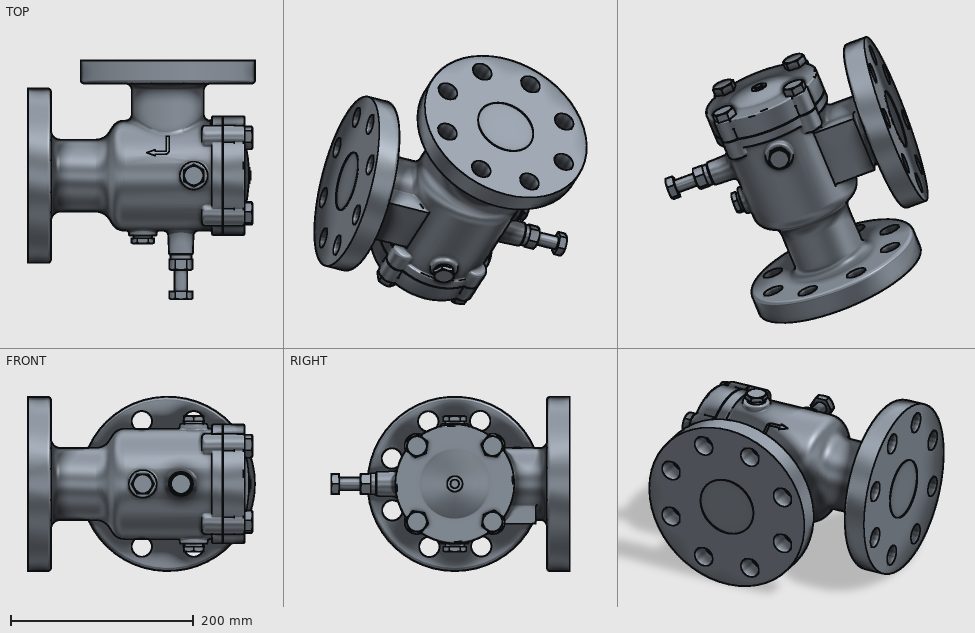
import cadquery as cq
import math


tolerance = 0.01
hexagon_chamfer_ratio = 0.97
boss_root = 50.0

inlet_face_x = -153.0
outlet_face_y = 126.0
flange_radius = 95.5
flange_thickness = 25.3
flange_edge_round = 4.0
flange_hole_count = 8
flange_hole_diameter = 22.0
flange_hole_circle_radius = 74.2
inlet_hole_twist = 0.5
port_radius = 32.5
port_depth = 1.0
neck_radius = 39.5
inlet_neck_fillet = 10.0
outlet_neck_fillet = 7.0
outlet_saddle_fillet = 6.5

body_radius = 60.3
body_start_x = -47.6
shoulder_slope = 58.0
shoulder_inner_radius = 17.5
shoulder_outer_radius = 15.0

pad_half_width = 32.0
pad_bottom_z = -43.5
pad_end_y = 88.5
pad_fillet = 2.0

rim_radius = 65.0
rim_start_x = 48.2
gasket_thickness = 1.0
joint_x = 60.0
housing_end_x = joint_x - gasket_thickness / 2
cover_start_x = joint_x + gasket_thickness / 2
cover_face_x = 84.0
cover_edge_round = 1.7

lug_count = 4
lug_circle_radius = 58.5
lug_radius = 13.5
lug_start_x = 37.3
lug_end_round = 4.0
cover_root_length = 9.5
rim_fillet = 1.8

bolt_flats = 22.0
bolt_head_height = 8.7
bolt_turn = 6.5

dome_base_radius = 38.0
dome_height = 5.0
dome_pad_radius = 8.5
dome_pad_end_x = 89.6
dome_nose_radius = 4.7
dome_nose_end_x = 91.0

side_plug_x = 28.4
drain_plug_x = -27.4
plug_boss_radius = 15.2
plug_boss_end = 65.7
plug_boss_round = 2.0
plug_boss_fillet = 2.5
plug_collar_radius = 10.3
plug_collar_end = 68.7
plug_flats = 21.4
plug_end = 74.4

plug_places = [
    (side_plug_x, 0, 90),
    (side_plug_x, 180, 90),
    (drain_plug_x, 90, 0),
]

spindle_turn = 90
spindle_x = 14.35
spindle_boss_base_radius = 14.5
spindle_boss_end_radius = 13.2
spindle_boss_end = 86.7
spindle_boss_chamfer = 1.5
spindle_boss_fillet = 5.0
spindle_collar_radius = 11.6
spindle_collar_end = 91.7
spindle_flats = 22.1
spindle_nut_end = 103.2
spindle_rod_radius = 7.1
spindle_head_height = 8.9
spindle_end = 135.34

arrow_width = 3.0
arrow_start_y = 43.0
arrow_turn_y = 25.1
arrow_bend_radius = 2.5
arrow_neck_x = -13.8
arrow_tip_x = -23.2
arrow_half_head = 3.3
arrow_height = 0.5


def x_disc(radius, start_x, end_x):
    """Cylinder around the X axis."""
    return cq.Workplane("YZ", origin=(start_x, 0, 0)).circle(radius).extrude(end_x - start_x)


def hexagon(flats, start, end, corner_angle=0.0):
    """Hexagonal prism along Z, its far end chamfered, with one corner at the given angle from local X."""
    corners_diameter = flats / math.cos(math.pi / 6)
    prism = cq.Workplane("XY", origin=(0, 0, start)).polygon(6, corners_diameter).extrude(end - start)
    chamfer_width = (corners_diameter - hexagon_chamfer_ratio * flats) / 2
    chamfer_height = chamfer_width * math.tan(math.pi / 6)
    limit = cq.Workplane("XY", origin=(0, 0, start)).circle(corners_diameter / 2).extrude(end - start)
    limit = limit.faces(">Z").edges().chamfer(chamfer_height, chamfer_width)
    return prism.intersect(limit).rotate((0, 0, 0), (0, 0, 1), corner_angle)


def lug_angles():
    """Angles of the lugs around the X axis, in degrees."""
    return [45.0 + 360.0 / lug_count * i for i in range(lug_count)]


def lugs(start_x, end_x):
    """Round bolt lugs parallel to the X axis."""
    return (
        cq.Workplane("YZ", origin=(start_x, 0, 0))
        .polarArray(lug_circle_radius, lug_angles()[0], 360, lug_count)
        .circle(lug_radius)
        .extrude(end_x - start_x)
    )


def flange_cuts():
    """Bolt holes and blind port of a flange whose face lies on Z = 0 and whose body is at Z > 0."""
    first_angle = 180.0 / flange_hole_count
    holes = (
        cq.Workplane("XY")
        .polarArray(flange_hole_circle_radius, first_angle, 360, flange_hole_count)
        .circle(flange_hole_diameter / 2)
        .extrude(flange_thickness)
    )
    return holes.union(cq.Workplane("XY").circle(port_radius).extrude(port_depth))


def flanged_neck(length, fillet):
    """Flange with its face on Z = 0 and a filleted neck running to the given length."""
    flange = cq.Workplane("XY").circle(flange_radius).extrude(flange_thickness)
    flange = flange.faces(">Z").edges().fillet(flange_edge_round)
    neck = cq.Workplane("XY").circle(neck_radius).extrude(length)
    root = (
        cq.Workplane("XZ")
        .moveTo(0, flange_thickness)
        .lineTo(neck_radius + fillet, flange_thickness)
        .radiusArc((neck_radius, flange_thickness + fillet), fillet)
        .lineTo(0, flange_thickness + fillet)
        .close()
        .revolve(360, (0, 0), (0, 1))
    )
    return flange.union(neck).union(root)


def inlet_placed(shape):
    """Turn a shape built along Z so that it runs along +X from the inlet face."""
    return shape.rotate((0, 0, 0), (0, 1, 0), 90).translate((inlet_face_x, 0, 0))


def outlet_placed(shape):
    """Turn a shape built along Z so that it runs along -Y from the outlet face."""
    return shape.rotate((0, 0, 0), (1, 0, 0), 90).translate((0, outlet_face_y, 0))


def body_shell():
    """Body of revolution: S-shaped shoulder, cylinder and joint rim."""
    slope = math.radians(shoulder_slope)
    arc_rise = (shoulder_inner_radius + shoulder_outer_radius) * (1 - math.cos(slope))
    cone_rise = body_radius - neck_radius - arc_rise
    outer_arc_x = body_start_x - shoulder_outer_radius * math.sin(slope)
    outer_arc_r = body_radius - shoulder_outer_radius * (1 - math.cos(slope))
    inner_arc_x = outer_arc_x - cone_rise / math.tan(slope)
    inner_arc_r = outer_arc_r - cone_rise
    shoulder_start_x = inner_arc_x - shoulder_inner_radius * math.sin(slope)
    return (
        cq.Workplane("XY")
        .moveTo(shoulder_start_x, 0)
        .lineTo(shoulder_start_x, neck_radius)
        .radiusArc((inner_arc_x, inner_arc_r), -shoulder_inner_radius)
        .lineTo(outer_arc_x, outer_arc_r)
        .radiusArc((body_start_x, body_radius), shoulder_outer_radius)
        .lineTo(rim_start_x, body_radius)
        .lineTo(rim_start_x, rim_radius)
        .lineTo(housing_end_x, rim_radius)
        .lineTo(housing_end_x, 0)
        .close()
        .revolve(360, (0, 0, 0), (1, 0, 0))
    )


def rim_edges(shape):
    """Edges of the rim back and of the lug roots, where they meet the body and each other."""
    edges = []
    for edge in shape.edges().vals():
        box = edge.BoundingBox()
        radii = [math.hypot(vertex.Y, vertex.Z) for vertex in edge.Vertices()]
        behind_joint = lug_start_x - tolerance < box.xmin < housing_end_x - tolerance
        outside_body = min(radii) > body_radius - tolerance and max(radii) < rim_radius + tolerance
        if behind_joint and outside_body:
            edges.append(edge)
    return edges


def joined_with_foot(body, branch, center, reach, fillet):
    """Union a round branch with the body and fillet the curved seam that lies around the given point."""
    joined = body.union(branch)
    low = tuple(value - reach - fillet for value in center)
    high = tuple(value + reach + fillet for value in center)
    nearby = joined.edges(cq.selectors.BoxSelector(low, high, boundingbox=True)).vals()
    seam = [edge for edge in nearby if edge.geomType() not in ("CIRCLE", "LINE")]
    return joined.newObject(seam).fillet(fillet)


def with_outlet_pad(body):
    """Add the flat-sided pad under the outlet neck, with a filleted root along the neck."""
    pad_length = pad_end_y - body_radius / 2
    pad = cq.Workplane("XY").box(2 * pad_half_width, pad_length, -pad_bottom_z, centered=(True, False, False))
    joined = body.union(pad.translate((0, pad_end_y - pad_length, pad_bottom_z)))
    on_neck = []
    for edge in joined.edges().vals():
        ends = [vertex.toTuple() for vertex in edge.Vertices()]
        within_length = all(0 < y < pad_end_y + tolerance for x, y, z in ends)
        within_width = all(abs(x) < pad_half_width + tolerance and z < 0 for x, y, z in ends)
        touches_neck = all(abs(math.hypot(x, z) - neck_radius) < tolerance for x, y, z in ends)
        if within_length and within_width and touches_neck:
            on_neck.append(edge)
    return joined.newObject(on_neck).fillet(pad_fillet)


def housing_body():
    """Body with its rim, lugs and both flanged branches."""
    housing_lugs = lugs(lug_start_x, housing_end_x).faces("<X").edges().fillet(lug_end_round)
    body = body_shell().union(housing_lugs)
    body = body.newObject(rim_edges(body)).fillet(rim_fillet)

    outlet = outlet_placed(flanged_neck(outlet_face_y, outlet_neck_fillet))
    body = joined_with_foot(body, outlet, (0, body_radius / 2, 0), neck_radius, outlet_saddle_fillet)

    body = with_outlet_pad(body)

    inlet_length = body_start_x - shoulder_inner_radius - inlet_face_x
    body = body.union(inlet_placed(flanged_neck(inlet_length, inlet_neck_fillet)))

    inlet_cuts = flange_cuts().rotate((0, 0, 0), (0, 0, 1), inlet_hole_twist)
    return body.cut(inlet_placed(inlet_cuts)).cut(outlet_placed(flange_cuts()))


def standing_at(shape, x, turn):
    """Move a shape built along Z to the given X, then turn it around the X axis."""
    return shape.translate((x, 0, 0)).rotate((0, 0, 0), (1, 0, 0), turn)


def plug_boss():
    """Round boss along Z, starting inside the body."""
    boss = cq.Workplane("XY", origin=(0, 0, boss_root)).circle(plug_boss_radius)
    boss = boss.extrude(plug_boss_end - boss_root)
    return boss.faces(">Z").edges().fillet(plug_boss_round)


def plug(corner_angle):
    """Screw plug along Z: collar and hexagon head."""
    collar = cq.Workplane("XY", origin=(0, 0, boss_root)).circle(plug_collar_radius)
    collar = collar.extrude(plug_collar_end - boss_root)
    return collar.union(hexagon(plug_flats, plug_collar_end, plug_end, corner_angle))


def spindle_boss():
    """Slightly tapered boss along Z with a chamfered end."""
    chamfer_start = spindle_boss_end - spindle_boss_chamfer
    return (
        cq.Workplane("XZ")
        .moveTo(0, boss_root)
        .lineTo(spindle_boss_base_radius, boss_root)
        .lineTo(spindle_boss_end_radius, chamfer_start)
        .lineTo(spindle_boss_end_radius - spindle_boss_chamfer, spindle_boss_end)
        .lineTo(0, spindle_boss_end)
        .close()
        .revolve(360, (0, 0), (0, 1))
    )


def spindle():
    """Adjusting spindle along Z: collar, lock nut, rod and hexagon head."""
    collar = cq.Workplane("XY", origin=(0, 0, boss_root)).circle(spindle_collar_radius)
    collar = collar.extrude(spindle_collar_end - boss_root)
    nut = hexagon(spindle_flats, spindle_collar_end, spindle_nut_end)
    head_start = spindle_end - spindle_head_height
    rod = cq.Workplane("XY", origin=(0, 0, spindle_nut_end)).circle(spindle_rod_radius)
    rod = rod.extrude(head_start - spindle_nut_end)
    head = hexagon(spindle_flats, head_start, spindle_end)
    return collar.union(nut).union(rod).union(head)


def flow_arrow():
    """Bent arrow raised from the top of the body: in from the outlet, out towards the inlet."""
    half = arrow_width / 2
    inner = arrow_bend_radius - half
    outer = arrow_bend_radius + half
    bend_y = arrow_turn_y + arrow_bend_radius
    bend_x = -arrow_bend_radius
    outline = (
        cq.Workplane("XY")
        .moveTo(half, arrow_start_y)
        .lineTo(half, bend_y)
        .radiusArc((bend_x, arrow_turn_y - half), outer)
        .lineTo(arrow_neck_x, arrow_turn_y - half)
        .lineTo(arrow_neck_x, arrow_turn_y - arrow_half_head)
        .lineTo(arrow_tip_x, arrow_turn_y)
        .lineTo(arrow_neck_x, arrow_turn_y + arrow_half_head)
        .lineTo(arrow_neck_x, arrow_turn_y + half)
        .lineTo(bend_x, arrow_turn_y + half)
        .radiusArc((-half, bend_y), -inner)
        .lineTo(-half, arrow_start_y)
        .close()
        .extrude(rim_radius)
    )
    skin_start_x = arrow_tip_x - arrow_width
    return outline.intersect(x_disc(body_radius + arrow_height, skin_start_x, arrow_width))


def make_housing():
    """Housing with its flanges, plugs, adjusting spindle and flow arrow."""
    housing = housing_body()
    for x, turn, corner_angle in plug_places:
        boss = standing_at(plug_boss(), x, turn)
        outward = math.radians(turn)
        center = (x, -body_radius * math.sin(outward), body_radius * math.cos(outward))
        housing = joined_with_foot(housing, boss, center, plug_boss_radius, plug_boss_fillet)
        housing = housing.union(standing_at(plug(corner_angle), x, turn))

    boss = standing_at(spindle_boss(), spindle_x, spindle_turn)
    center = (spindle_x, -body_radius, 0)
    housing = joined_with_foot(housing, boss, center, spindle_boss_base_radius, spindle_boss_fillet)
    housing = housing.union(standing_at(spindle(), spindle_x, spindle_turn))
    return housing.union(flow_arrow())


def make_gasket():
    """Thin gasket with the outline of the joint."""
    return x_disc(rim_radius, housing_end_x, cover_start_x).union(lugs(housing_end_x, cover_start_x))


def bolt_heads():
    """Hexagon bolt heads on the cover lugs, each turned with its lug."""
    head = hexagon(bolt_flats, cover_face_x, cover_face_x + bolt_head_height)
    heads = cq.Workplane("XY")
    for angle in lug_angles():
        placed = head.rotate((0, 0, 0), (0, 1, 0), 90).rotate((0, 0, 0), (1, 0, 0), bolt_turn)
        placed = placed.translate((0, 0, -lug_circle_radius)).rotate((0, 0, 0), (1, 0, 0), angle)
        heads = heads.add(placed)
    return heads


def cover_dome():
    """Shallow spherical dome with a stepped pad at its top."""
    dome_end_x = cover_face_x + dome_height
    dome_sphere_radius = (dome_base_radius**2 + dome_height**2) / (2 * dome_height)
    dome = (
        cq.Workplane("XY")
        .moveTo(cover_start_x, 0)
        .lineTo(cover_start_x, dome_base_radius)
        .lineTo(cover_face_x, dome_base_radius)
        .radiusArc((dome_end_x, 0), dome_sphere_radius)
        .close()
        .revolve(360, (0, 0, 0), (1, 0, 0))
    )
    pad = x_disc(dome_pad_radius, cover_start_x, dome_pad_end_x)
    nose = x_disc(dome_nose_radius, cover_start_x, dome_nose_end_x)
    return dome.union(pad).union(nose)


def lug_root_fillets():
    """Slice of rim and lugs with filleted corners between them, just behind the cover edge round."""
    end_x = cover_face_x - cover_edge_round
    start_x = end_x - cover_root_length
    rim_slice = x_disc(rim_radius, start_x, end_x).union(lugs(start_x, end_x))
    return rim_slice.edges("|X").fillet(rim_fillet)


def make_cover():
    """Cover with lugs, domed centre and bolt heads."""
    plate = x_disc(rim_radius, cover_start_x, cover_face_x).faces(">X").edges().fillet(cover_edge_round)
    cover_lugs = lugs(cover_start_x, cover_face_x).faces(">X").edges().fillet(cover_edge_round)
    cover = plate.union(cover_lugs).union(lug_root_fillets()).union(cover_dome())
    for head in bolt_heads().vals():
        cover = cover.union(cq.Workplane(head))
    return cover


housing = make_housing()
gasket = make_gasket()
cover = make_cover()

result = cq.Compound.makeCompound([housing.val(), gasket.val(), cover.val()])